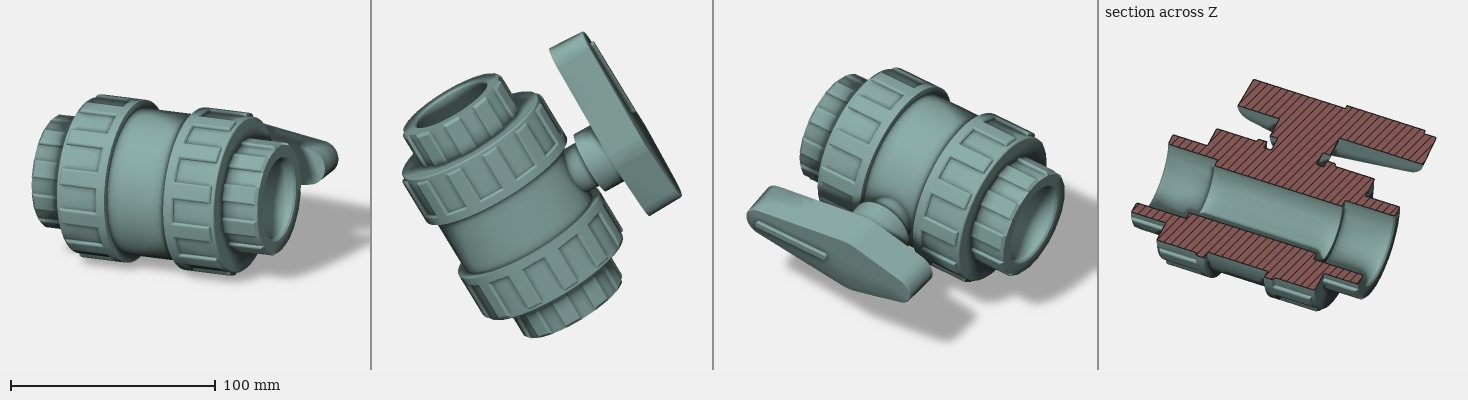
import cadquery as cq
import math


body_end = 60.0
nut_inner = 15.7
nut_flange_end = 20.7
nut_rib_end = 40.0
nut_outer = 41.8

barrel_dia = 72.0
nut_dia = 76.8
nut_flange_dia = 80.0
connector_dia = 53.3
connector_rib_dia = 55.9
connector_rib_height = (connector_rib_dia - connector_dia) / 2

bore_dia = 32.0
socket_dia = 40.0
socket_depth = 26.2
socket_chamfer = 0.8

rib_round = 1.2
rib_overlap = 2.4
nut_pocket_count = 12
nut_pocket_width = 11.7
connector_rib_count = 10
connector_rib_width = 8.9
connector_rib_lead = 1.5
connector_rib_round = 1.1
nut_edge_round = 0.8

stem_dia = 24.0
collar_dia = 32.0
collar_bottom = 43.7
handle_bottom = 55.5
handle_top = 74.1
handle_hub_radius = 16.9
handle_tip_radius = 9.0
short_arm = 28.8
long_arm = 51.2
handle_draft = 2.0
handle_edge_round = 0.7

marker_top = 76.2
marker_start = 11.3
marker_end = 52.9
marker_width = 3.1


def x_cylinder(diameter, start, end):
    """Solid cylinder on the pipe axis."""
    return cq.Workplane("YZ", origin=(start, 0, 0)).circle(diameter / 2).extrude(end - start)


def y_cylinder(diameter, bottom, top):
    """Solid cylinder on the stem axis."""
    return cq.Workplane("XZ", origin=(0, bottom, 0)).circle(diameter / 2).extrude(bottom - top)


def radial_block(width, inner_radius, outer_radius, start, end):
    """Flat-topped block along the pipe axis, centred on +Z."""
    return (
        cq.Workplane("XY", origin=((start + end) / 2, 0, inner_radius))
        .rect(end - start, width)
        .extrude(outer_radius - inner_radius)
    )


def around_pipe(block, count):
    """Evenly spaced copies of a block around the pipe axis."""
    return [block.rotate((0, 0, 0), (1, 0, 0), i * 360 / count) for i in range(count)]


def union_nut():
    """Nut on the +X side; its flange and grip ribs share one outer surface and rounded edge."""
    grip = x_cylinder(nut_flange_dia, nut_inner, nut_rib_end)
    gap = radial_block(
        nut_pocket_width, nut_dia / 2 - rib_overlap, nut_flange_dia, nut_flange_end, nut_outer
    )
    for pocket in around_pipe(gap, nut_pocket_count):
        grip = grip.cut(pocket)
    grip = (
        grip.faces("%CYLINDER").edges()
        .filter(lambda edge: edge.Center().x > nut_flange_end - rib_round)
        .fillet(rib_round)
    )
    core = x_cylinder(nut_dia, nut_inner, nut_outer).faces(">X").edges().fillet(nut_edge_round)
    return core.union(grip)


def pipe_connector():
    """Ribbed end connector on the +X side."""
    connector = x_cylinder(connector_dia, nut_inner, body_end)
    bar = radial_block(
        connector_rib_width, connector_dia / 2 - rib_overlap, connector_rib_dia / 2,
        nut_flange_end, body_end,
    )
    bar = bar.faces(">Z").edges(">X").chamfer(connector_rib_height, connector_rib_lead)
    bar = bar.faces(">Z").edges("|X").fillet(connector_rib_round)
    for rib in around_pipe(bar, connector_rib_count):
        connector = connector.union(rib)
    return connector


def socket():
    """Pipe socket on the +X side with a chamfered mouth."""
    hole = x_cylinder(socket_dia, body_end - socket_depth, body_end)
    mouth = cq.Workplane(
        cq.Solid.makeCone(
            socket_dia / 2, socket_dia / 2 + socket_chamfer, socket_chamfer,
            cq.Vector(body_end - socket_chamfer, 0, 0), cq.Vector(1, 0, 0),
        )
    )
    return hole.union(mouth)


def flank_normal(arm, side):
    """Unit normal of the straight flank between the hub and a tip circle centred at x = arm."""
    along = (handle_hub_radius - handle_tip_radius) / arm
    return along, side * math.sqrt(1 - along ** 2)


def handle():
    """Two-armed lever: three circles joined by tangent flanks, drafted toward the top."""

    def on_circle(center, radius, normal):
        return center + radius * normal[0], radius * normal[1]

    left_up = flank_normal(-short_arm, 1)
    left_down = flank_normal(-short_arm, -1)
    right_up = flank_normal(long_arm, 1)
    right_down = flank_normal(long_arm, -1)
    lever = (
        cq.Workplane("XZ", origin=(0, handle_bottom, 0))
        .moveTo(*on_circle(-short_arm, handle_tip_radius, left_up))
        .lineTo(*on_circle(0, handle_hub_radius, left_up))
        .threePointArc((0, handle_hub_radius), on_circle(0, handle_hub_radius, right_up))
        .lineTo(*on_circle(long_arm, handle_tip_radius, right_up))
        .threePointArc(
            (long_arm + handle_tip_radius, 0),
            on_circle(long_arm, handle_tip_radius, right_down),
        )
        .lineTo(*on_circle(0, handle_hub_radius, right_down))
        .threePointArc((0, -handle_hub_radius), on_circle(0, handle_hub_radius, left_down))
        .lineTo(*on_circle(-short_arm, handle_tip_radius, left_down))
        .threePointArc(
            (-short_arm - handle_tip_radius, 0),
            on_circle(-short_arm, handle_tip_radius, left_up),
        )
        .close()
        .extrude(handle_bottom - handle_top, taper=handle_draft)
    )
    return lever.faces(">Y").edges().fillet(handle_edge_round)


def marker_bar():
    """Round-ended bar standing on top of the long arm."""
    return (
        cq.Workplane("XZ", origin=((marker_start + marker_end) / 2, handle_top, 0))
        .slot2D(marker_end - marker_start, marker_width)
        .extrude(handle_top - marker_top)
    )


def both_ends(feature):
    """A +X side feature together with its mirror image."""
    return feature.union(feature.mirror("YZ"))


result = x_cylinder(barrel_dia, -nut_flange_end, nut_flange_end)
result = result.union(both_ends(union_nut()))
result = result.union(both_ends(pipe_connector()))
result = result.union(y_cylinder(stem_dia, 0, collar_bottom))
result = result.union(y_cylinder(collar_dia, collar_bottom, handle_bottom))
result = result.union(handle())
result = result.union(marker_bar())
result = result.cut(x_cylinder(bore_dia, -body_end, body_end))
result = result.cut(both_ends(socket()))